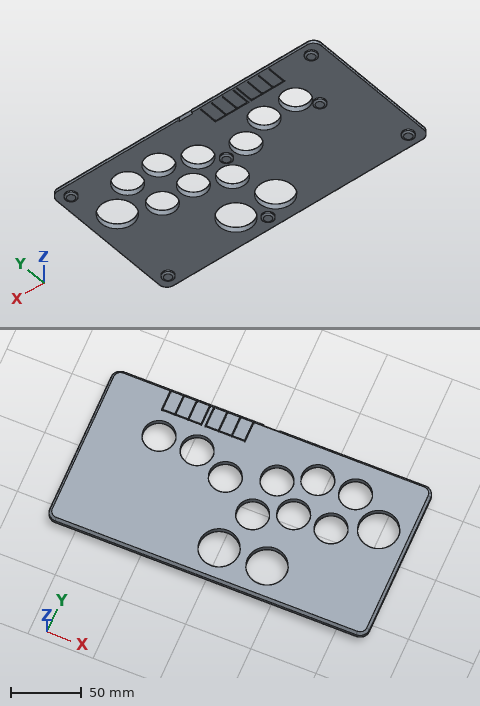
import cadquery as cq

LENGTH = 245.2
WIDTH = 126.5
THICKNESS = 5.0
CORNER_RADIUS = 7.0
EDGE_CHAMFER = 2.0

SMALL_HOLE_DIAMETER = 24.0
LARGE_HOLE_DIAMETER = 30.0
SMALL_HOLES = [
    (-73.0, 25.7),
    (-44.0, 25.7),
    (-17.5, 14.2),
    (11.8, -5.5),
    (17.5, 25.7),
    (44.0, 37.3),
    (72.8, 37.3),
    (38.5, 6.0),
    (67.2, 6.0),
]
LARGE_HOLES = [
    (0.0, -38.7),
    (36.8, -38.7),
    (98.5, 18.1),
]

KEY_SLIT_WIDTH = 0.8
KEY_PITCH = 10.0
KEYS_PER_GROUP = 3
KEY_SLIT_LENGTH = 16.2
KEY_GROUP_CENTERS_X = [-64.0, -30.6]

NOTCH_WIDTH = 12.3
NOTCH_DEPTH = 1.2
NOTCH_CENTER_X = -2.2

FOOT_DIAMETER = 10.0
FOOT_HEIGHT = 2.2
FOOT_CHAMFER_HEIGHT = 0.85
FOOT_CHAMFER_WIDTH = 1.7
CORNER_FOOT_X = 111.3
FRONT_FOOT_Y = -52.5
REAR_FOOT_Y = 53.7
INNER_FOOT_Y = 12.5
FEET = [
    (-CORNER_FOOT_X, FRONT_FOOT_Y),
    (CORNER_FOOT_X, FRONT_FOOT_Y),
    (-CORNER_FOOT_X, REAR_FOOT_Y),
    (CORNER_FOOT_X, REAR_FOOT_Y),
    (-84.3, INNER_FOOT_Y),
    (2.2, INNER_FOOT_Y),
    (18.6, FRONT_FOOT_Y),
]


def make_plate():
    """Rounded plate with a chamfered top rim."""
    plate = cq.Workplane("XY").rect(LENGTH, WIDTH).extrude(THICKNESS)
    plate = plate.edges("|Z").fillet(CORNER_RADIUS)
    return plate.faces(">Z").edges().chamfer(EDGE_CHAMFER)


def make_holes(centers, diameter):
    """Cutters for round holes through the plate."""
    return cq.Workplane("XY").pushPoints(centers).circle(diameter / 2).extrude(THICKNESS)


def make_cutter(x_min, x_max, y_min, y_max):
    """Rectangular cutter through the plate thickness."""
    cutter = cq.Workplane("XY").box(x_max - x_min, y_max - y_min, THICKNESS, centered=False)
    return cutter.translate((x_min, y_min, 0))


def make_key_slits(center_x):
    """Comb of slits around one group of keys, open side at the rear."""
    rear_y = WIDTH / 2 - EDGE_CHAMFER
    front_y = rear_y - KEY_SLIT_LENGTH
    half_width = KEYS_PER_GROUP * KEY_PITCH / 2
    half_slit = KEY_SLIT_WIDTH / 2
    left_x = center_x - half_width
    right_x = center_x + half_width
    slits = make_cutter(left_x - half_slit, right_x + half_slit, front_y, front_y + KEY_SLIT_WIDTH)
    for index in range(KEYS_PER_GROUP + 1):
        slit_x = left_x + index * KEY_PITCH
        slits = slits.union(make_cutter(slit_x - half_slit, slit_x + half_slit, front_y, rear_y))
    return slits


def make_notch():
    """Cutter for the notch in the rear edge."""
    left_x = NOTCH_CENTER_X - NOTCH_WIDTH / 2
    rear_y = WIDTH / 2
    return make_cutter(left_x, left_x + NOTCH_WIDTH, rear_y - NOTCH_DEPTH, rear_y)


def make_feet():
    """Round feet with chamfered lower rims, hanging from the underside."""
    feet = cq.Workplane("XY").pushPoints(FEET).circle(FOOT_DIAMETER / 2).extrude(-FOOT_HEIGHT)
    return feet.faces("<Z").edges().chamfer(FOOT_CHAMFER_HEIGHT, FOOT_CHAMFER_WIDTH)


result = make_plate()
result = result.cut(make_holes(SMALL_HOLES, SMALL_HOLE_DIAMETER))
result = result.cut(make_holes(LARGE_HOLES, LARGE_HOLE_DIAMETER))
for group_center_x in KEY_GROUP_CENTERS_X:
    result = result.cut(make_key_slits(group_center_x))
result = result.cut(make_notch())
result = result.union(make_feet())